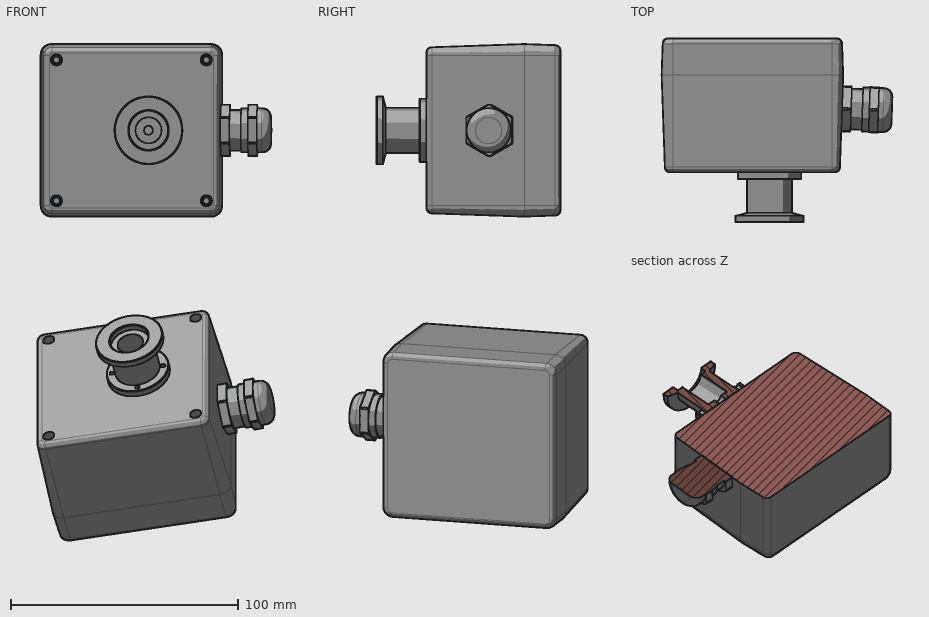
import cadquery as cq
import math

overall_width = 101.7
overall_depth = 81.0

housing_width = 80.0
housing_height = 76.0
housing_depth = 59.1
rear_depth = 16.1
draft_angle = 2.0
corner_radius = 5.0
rim_round = 2.5
front_depth = housing_depth - rear_depth
draft_slope = math.tan(math.radians(draft_angle))

screw_spacing_x = 66.0
screw_spacing_z = 62.0
screw_diameter = 4.0
screw_length = 10.0
screw_tip_chamfer = 0.5
screw_stand_out = 2.0
access_hole_diameter = 5.0
access_hole_depth = 10.0

flange_x = 7.5
flange_length = overall_depth - housing_depth
plate_diameter = 28.0
plate_thickness = 3.0
tube_diameter = 20.0
rim_diameter = 30.0
rim_thickness = 2.8
rim_back_angle = 15.0
edge_chamfer = 0.3
recess_diameter = 17.2
recess_mouth_diameter = 18.0
recess_depth = 2.9
bore_diameter = 11.5
port_diameter = 4.0
fixing_hole_count = 4
fixing_hole_diameter = 2.0
fixing_circle_radius = 11.5

gland_setback = 14.9
hex_sides = 6
hex_across_flats = 20.0
hex_corner_diameter = 22.7
neck_diameter = 18.1
cap_diameter = 19.5
base_hex_length = 4.0
cap_start = 8.9
nut_start = 12.0
nut_end = 16.0
dome_radius = 4.0
cap_face_radius = cap_diameter / 2 - dome_radius
gland_wall_x = housing_width / 2 - gland_setback * draft_slope
gland_reach = overall_width - housing_width / 2 - gland_wall_x


def screw_places():
    return [
        (side * screw_spacing_x / 2, level * screw_spacing_z / 2)
        for side in (-1, 1)
        for level in (-1, 1)
    ]


def front_plane(y):
    """Workplane parallel to the front face at depth y, facing the front (-Y)."""
    return cq.Workplane("XZ", origin=(0, y, 0))


def tapered_block(length):
    """Block drawn from the parting line; a negative length runs towards the back."""
    outline = cq.Sketch().rect(housing_width, housing_height).vertices().fillet(corner_radius)
    return front_plane(front_depth).placeSketch(outline).extrude(length, taper=draft_angle)


def make_housing():
    front = tapered_block(front_depth).faces("<Y").edges().fillet(rim_round)
    rear = tapered_block(-rear_depth).faces(">Y").edges().fillet(rim_round)
    housing = front.union(rear)
    access_holes = (
        front_plane(0).pushPoints(screw_places())
        .circle(access_hole_diameter / 2).extrude(-access_hole_depth)
    )
    screw_seats = (
        front_plane(access_hole_depth).pushPoints(screw_places())
        .circle(screw_diameter / 2).extrude(screw_stand_out - screw_length)
    )
    return housing.cut(access_holes).cut(screw_seats)


def make_screw(x, z):
    return (
        front_plane(access_hole_depth - screw_stand_out).center(x, z)
        .circle(screw_diameter / 2).extrude(-screw_length)
        .faces("<Y").chamfer(screw_tip_chamfer)
    )


def make_flange():
    tube_radius = tube_diameter / 2
    rim_radius = rim_diameter / 2
    plate_radius = plate_diameter / 2
    slope_length = (rim_radius - tube_radius) * math.tan(math.radians(rim_back_angle))
    mouth_chamfer = (recess_mouth_diameter - recess_diameter) / 2
    recess_floor = flange_length - recess_depth
    section = [
        (port_diameter / 2, 0),
        (plate_radius, 0),
        (plate_radius, plate_thickness - edge_chamfer),
        (plate_radius - edge_chamfer, plate_thickness),
        (tube_radius, plate_thickness),
        (tube_radius, flange_length - rim_thickness - slope_length),
        (rim_radius, flange_length - rim_thickness),
        (rim_radius, flange_length - edge_chamfer),
        (rim_radius - edge_chamfer, flange_length),
        (recess_mouth_diameter / 2, flange_length),
        (recess_diameter / 2, flange_length - mouth_chamfer),
        (recess_diameter / 2, recess_floor),
        (bore_diameter / 2, recess_floor),
        (bore_diameter / 2, plate_thickness),
        (port_diameter / 2, plate_thickness),
    ]
    flange = (
        cq.Workplane("XY", origin=(flange_x, 0, 0))
        .polyline([(radius, -distance) for radius, distance in section]).close()
        .revolve(360, (0, 0), (0, 1))
    )
    fixing_holes = (
        front_plane(0).center(flange_x, 0)
        .polarArray(fixing_circle_radius, 0, 360, fixing_hole_count)
        .circle(fixing_hole_diameter / 2).extrude(plate_thickness)
    )
    return flange.cut(fixing_holes)


def make_gland():
    tilt = math.radians(draft_angle)
    wall = cq.Plane(
        origin=(gland_wall_x, front_depth - gland_setback, 0),
        xDir=(math.sin(tilt), math.cos(tilt), 0),
        normal=(math.cos(tilt), -math.sin(tilt), 0),
    )
    length = (gland_reach - cap_face_radius * math.sin(tilt)) / math.cos(tilt)

    def disc(diameter, start, end):
        return cq.Workplane(wall).workplane(offset=start).circle(diameter / 2).extrude(end - start)

    def hexagon(start, end):
        prism = (
            cq.Workplane(wall).workplane(offset=start)
            .polygon(hex_sides, hex_across_flats, circumscribed=True).extrude(end - start)
        )
        return prism.intersect(disc(hex_corner_diameter, start, end))

    cap = disc(cap_diameter, cap_start, length).faces(">X").edges().fillet(dome_radius)
    neck = disc(neck_diameter, 0, cap_start)
    return neck.union(cap).union(hexagon(0, base_hex_length)).union(hexagon(nut_start, nut_end))


housing = make_housing()
flange = make_flange()
gland = make_gland()
screws = [make_screw(x, z) for x, z in screw_places()]

result = cq.Compound.makeCompound(
    [housing.val(), flange.val(), gland.val(), *[screw.val() for screw in screws]]
)